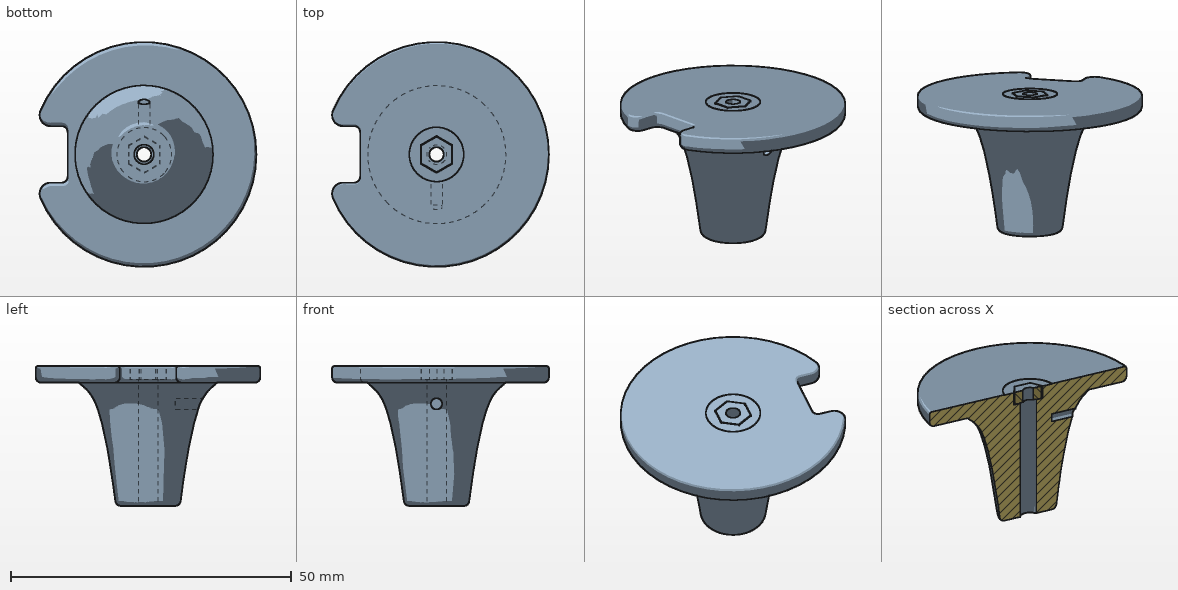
import cadquery as cq

KNOB_HEIGHT = 24.95

DISC_DIAMETER = 40.05
DISC_THICKNESS = 3.0
DISC_BOTTOM_EDGE_RADIUS = 1.0
DISC_TOP_EDGE_RADIUS = DISC_BOTTOM_EDGE_RADIUS / 2
DISC_BOTTOM = KNOB_HEIGHT - DISC_THICKNESS

NOTCH_WIDTH = 10.0
NOTCH_FLOOR_DISTANCE = 13.6
NOTCH_MOUTH_RADIUS = 2.0
NOTCH_CORNER_RADIUS = 1.0

STEM_FLARE_RADIUS = 12.3
STEM_FOOT_RADIUS = 5.72
STEM_FOOT_EDGE_RADIUS = 1.0
FLARE_CONTROL = (10.3, 19.95)
TAPER_CONTROL = (8.33, 20.65)

SIDE_HOLE_DIAMETER = 2.0
SIDE_HOLE_HEIGHT = 18.17
SIDE_HOLE_FLOOR_DIAMETER = 9.7

RECESS_DIAMETER = SIDE_HOLE_FLOOR_DIAMETER
RECESS_DEPTH = 0.052

NUT_FLATS = 5.5
NUT_HEIGHT = 2.4
NUT_BORE_DIAMETER = 2.52
NUT_SEAT_HEIGHT = KNOB_HEIGHT - NUT_HEIGHT

NUT_CLEARANCE = 0.1
POCKET_FLATS = NUT_FLATS + 2 * NUT_CLEARANCE
CLEARANCE_BORE_DIAMETER = 3.5


def notch_cutter():
    length = DISC_DIAMETER / 2
    return (
        cq.Workplane("XY", origin=(-NOTCH_FLOOR_DISTANCE - length / 2, 0, DISC_BOTTOM))
        .rect(length, NOTCH_WIDTH)
        .extrude(DISC_THICKNESS)
        .edges("|Z and >X")
        .fillet(NOTCH_CORNER_RADIUS)
    )


def make_disc():
    blank = cq.Workplane("XY", origin=(0, 0, DISC_BOTTOM)).circle(DISC_DIAMETER / 2).extrude(DISC_THICKNESS)
    mouth_corners = cq.selectors.BoxSelector(
        (-DISC_DIAMETER / 2, -NOTCH_WIDTH, 0),
        (-NOTCH_FLOOR_DISTANCE - 2 * NOTCH_CORNER_RADIUS, NOTCH_WIDTH, KNOB_HEIGHT),
    )
    disc = blank.cut(notch_cutter())
    disc = disc.edges("|Z").edges(mouth_corners).fillet(NOTCH_MOUTH_RADIUS)
    disc = disc.faces(">Z").edges().fillet(DISC_TOP_EDGE_RADIUS)
    return disc.faces("<Z").edges().fillet(DISC_BOTTOM_EDGE_RADIUS)


def make_stem():
    stem = (
        cq.Workplane("XZ")
        .lineTo(0, DISC_BOTTOM)
        .lineTo(STEM_FLARE_RADIUS, DISC_BOTTOM)
        .bezier([FLARE_CONTROL, TAPER_CONTROL, (STEM_FOOT_RADIUS, 0)], includeCurrent=True)
        .close()
        .revolve(360, (0, 0, 0), (0, 1, 0))
    )
    return stem.faces("<Z").edges().fillet(STEM_FOOT_EDGE_RADIUS)


def side_hole_cutter():
    drill = (
        cq.Workplane("XZ", origin=(0, 0, SIDE_HOLE_HEIGHT))
        .circle(SIDE_HOLE_DIAMETER / 2)
        .extrude(DISC_DIAMETER / 2)
    )
    centre = cq.Workplane("XY").circle(SIDE_HOLE_FLOOR_DIAMETER / 2).extrude(KNOB_HEIGHT)
    return drill.cut(centre)


def hex_prism(across_flats):
    """Hexagonal prism on the nut seat, as tall as the nut, with flats facing +X and -X."""
    return (
        cq.Workplane("XY", origin=(0, 0, NUT_SEAT_HEIGHT))
        .polygon(6, across_flats, circumscribed=True)
        .extrude(NUT_HEIGHT)
    )


def make_knob():
    recess = (
        cq.Workplane("XY", origin=(0, 0, KNOB_HEIGHT - RECESS_DEPTH))
        .circle(RECESS_DIAMETER / 2)
        .extrude(RECESS_DEPTH)
    )
    nut_pocket = hex_prism(POCKET_FLATS)
    clearance_bore = cq.Workplane("XY").circle(CLEARANCE_BORE_DIAMETER / 2).extrude(KNOB_HEIGHT)
    knob = make_disc().union(make_stem())
    return knob.cut(side_hole_cutter()).cut(recess).cut(nut_pocket).cut(clearance_bore)


def make_nut():
    bore = (
        cq.Workplane("XY", origin=(0, 0, NUT_SEAT_HEIGHT))
        .circle(NUT_BORE_DIAMETER / 2)
        .extrude(NUT_HEIGHT)
    )
    return hex_prism(NUT_FLATS).cut(bore)


knob = make_knob()
nut = make_nut()

result = cq.Compound.makeCompound([knob.val(), nut.val()])